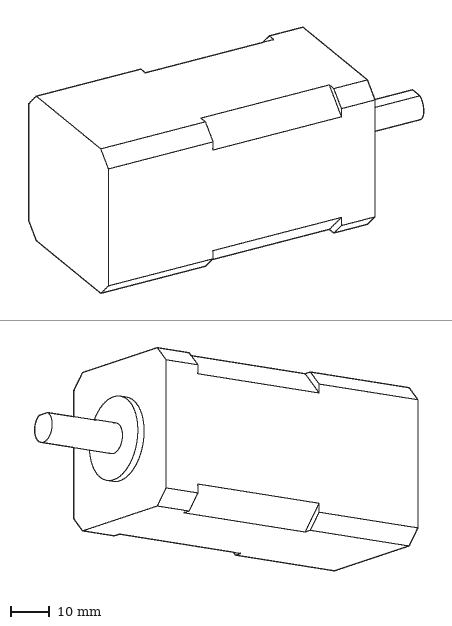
import cadquery as cq

total_length = 103.0
body_width = 42.0
shaft_reach = 24.0
body_length = total_length - shaft_reach

cap_chamfer = 4.0
middle_chamfer = 6.4
output_cap_length = 10.0
middle_length = 38.0
rear_cap_length = body_length - output_cap_length - middle_length

pilot_diameter = 22.0
pilot_height = 2.0
shaft_diameter = 8.0
flat_length = 15.0
flat_depth = 0.5


def body_section(start_y, length, chamfer):
    """Square block along +Y with its four long corners chamfered."""
    return (
        cq.Workplane("XY")
        .box(body_width, length, body_width, centered=(True, False, True))
        .edges("|Y")
        .chamfer(chamfer)
        .translate((0, start_y, 0))
    )


def round_section(start_y, length, diameter):
    """Cylinder along +Y on the shaft axis."""
    return (
        cq.Workplane("XZ", origin=(0, start_y, 0))
        .circle(diameter / 2)
        .extrude(-length)
    )


middle_start = rear_cap_length
output_cap_start = middle_start + middle_length
rear_cap = body_section(0, rear_cap_length, cap_chamfer)
middle = body_section(middle_start, middle_length, middle_chamfer)
output_cap = body_section(output_cap_start, output_cap_length, cap_chamfer)
body = rear_cap.union(middle).union(output_cap)

pilot = round_section(body_length, pilot_height, pilot_diameter)
shaft = round_section(body_length, shaft_reach, shaft_diameter)
flat_cutter = (
    cq.Workplane("XY")
    .box(shaft_diameter, flat_length, shaft_diameter, centered=(True, False, False))
    .translate((0, total_length - flat_length, shaft_diameter / 2 - flat_depth))
)

result = body.union(pilot).union(shaft.cut(flat_cutter))